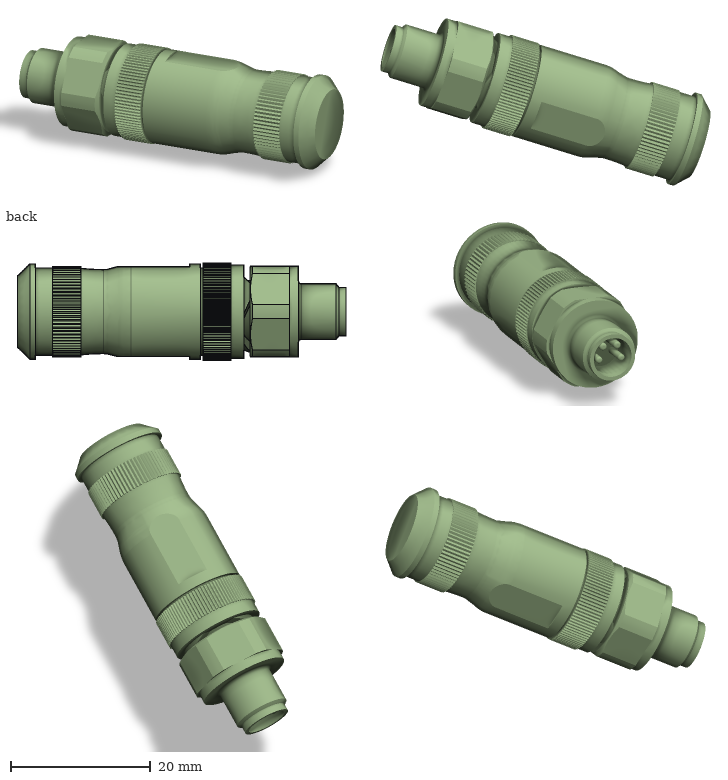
import cadquery as cq
import math

LENGTH = 47.0

TIP_D = 6.9
TIP_END = 1.05
PLUG_D = 8.0
PLUG_START = 1.45
PLUG_ROOT_D = 8.8
SOCKET_MOUTH_D = 5.8
SOCKET_FLOOR_D = 5.35
SOCKET_DEPTH = 4.7
PIN_TIP = 0.7
PIN_TIP_FILLET = 0.35
PINS = [
    (1.1, 1.1, 1.45),
    (1.0, 1.7, -0.45),
]

COLLAR_D = 13.0
COLLAR_START = 6.8
HEX_START = 8.15
HEX_END = 13.75
HEX_SIDES = 6
HEX_FLATS = 12.95
HEX_CORNER_D = 13.95
HEX_BEVEL = 0.38
HEX_BEVEL_DEPTH = 0.65

NECK_CORE_D = 8.95
LUG_COUNT = 3
LUG_TIP_D = 11.65
LUG_BASE_D = 11.0
LUG_TIP_WIDTH = 2.9
LUG_BASE_WIDTH = 6.1

RING_START = 14.6
RING_D = 13.4
FRONT_KNURL_START = 16.45
FRONT_KNURL_END = 20.45
FRONT_KNURL_D = 13.95
FRONT_KNURL_TEETH = 90
GROOVE_D = 12.5

BODY_START = 20.8
BODY_D = 13.7
BODY_END = 30.75
FLAT_START = 22.35
FLAT_SPACING = 12.9
WAIST_X = 34.7
WAIST_D = 12.05

REAR_KNURL_START = 37.95
REAR_KNURL_END = 41.95
REAR_KNURL_D = 12.92
REAR_KNURL_TEETH = 72
REAR_ROOT_D = 12.4
SLEEVE_D = 12.5
FLANGE_START = 44.4
FLANGE_END = 45.2
FLANGE_D = 13.7
REAR_FACE_D = 10.15

KNURL_DEPTH = 0.25


def along_x(start):
    """Workplane across the axis at X = start, local x = +Y and local y = +Z."""
    return cq.Workplane("YZ", origin=(start, 0, 0))


def cylinder(start, end, diameter):
    return along_x(start).circle(diameter / 2).extrude(end - start)


def cone(start, end, start_d, end_d):
    """Truncated cone on the X axis."""
    profile = (
        cq.Workplane("XY")
        .moveTo(start, 0)
        .lineTo(start, start_d / 2)
        .lineTo(end, end_d / 2)
        .lineTo(end, 0)
        .close()
    )
    return profile.revolve(360, (0, 0, 0), (1, 0, 0))


def knurl(start, end, diameter, teeth, flat_topped):
    """Straight knurl: flat-topped teeth have flat crests and roots, others are V-shaped."""
    crest = diameter / 2
    root = crest - KNURL_DEPTH
    tooth_radii = (crest, crest, root, root) if flat_topped else (crest, root)
    corners = len(tooth_radii) * teeth
    points = []
    for i in range(corners):
        radius = tooth_radii[i % len(tooth_radii)]
        angle = 2 * math.pi * i / corners
        points.append((radius * math.cos(angle), radius * math.sin(angle)))
    return along_x(start).polyline(points).close().extrude(end - start)


def plug():
    """Stepped barrel with a slightly tapered socket and four round-tipped pins."""
    root_fillet = (PLUG_ROOT_D - PLUG_D) / 2
    fillet_mid = root_fillet * math.sqrt(0.5)
    fillet_start = COLLAR_START - root_fillet
    outer = (
        cq.Workplane("XY")
        .moveTo(0, 0)
        .lineTo(0, TIP_D / 2)
        .lineTo(TIP_END, TIP_D / 2)
        .lineTo(PLUG_START, PLUG_D / 2)
        .lineTo(fillet_start, PLUG_D / 2)
        .threePointArc(
            (fillet_start + fillet_mid, PLUG_ROOT_D / 2 - fillet_mid),
            (COLLAR_START, PLUG_ROOT_D / 2),
        )
        .lineTo(COLLAR_START, 0)
        .close()
        .revolve(360, (0, 0, 0), (1, 0, 0))
    )
    body = outer.cut(cone(0, SOCKET_DEPTH, SOCKET_MOUTH_D, SOCKET_FLOOR_D))
    for diameter, y, z in PINS:
        pin = cylinder(PIN_TIP, COLLAR_START, diameter).faces("<X").edges().fillet(PIN_TIP_FILLET)
        for side in (-1, 1):
            body = body.union(pin.translate((0, side * y, z)))
    return body


def coupling_nut():
    """Collar and hexagon with two flats facing +Z and -Z, corners turned round."""
    hex_length = HEX_END - HEX_START
    hexagon = (
        along_x(HEX_START)
        .polygon(HEX_SIDES, HEX_FLATS, circumscribed=True)
        .extrude(hex_length)
        .rotate((0, 0, 0), (1, 0, 0), 180 / HEX_SIDES)
    )
    bevel_start = HEX_END - HEX_BEVEL
    envelope = cylinder(HEX_START, bevel_start, HEX_CORNER_D).union(
        cone(bevel_start, HEX_END, HEX_CORNER_D, HEX_CORNER_D - 2 * HEX_BEVEL_DEPTH)
    )
    return hexagon.intersect(envelope).union(cylinder(COLLAR_START, HEX_START, COLLAR_D))


def neck():
    """Slim core with tapered lugs, narrow at the nut and wide at the ring; one lug points to -Z."""
    core = cylinder(HEX_END, RING_START, NECK_CORE_D)
    envelope = cone(HEX_END, RING_START, LUG_TIP_D, LUG_BASE_D)
    wedge = (
        cq.Workplane("XY")
        .moveTo(HEX_END, -LUG_TIP_WIDTH / 2)
        .lineTo(HEX_END, LUG_TIP_WIDTH / 2)
        .lineTo(RING_START, LUG_BASE_WIDTH / 2)
        .lineTo(RING_START, -LUG_BASE_WIDTH / 2)
        .close()
        .extrude(-LUG_TIP_D)
    )
    lug = wedge.intersect(envelope)
    for i in range(LUG_COUNT):
        core = core.union(lug.rotate((0, 0, 0), (1, 0, 0), i * 360 / LUG_COUNT))
    return core


def front_ring():
    ring = cylinder(RING_START, FRONT_KNURL_START, RING_D)
    teeth = knurl(FRONT_KNURL_START, FRONT_KNURL_END, FRONT_KNURL_D, FRONT_KNURL_TEETH, True)
    groove_floor = cylinder(FRONT_KNURL_END, BODY_START, GROOVE_D)
    return ring.union(teeth).union(groove_floor)


def grip_body():
    """Cylinder easing through an S-curve into a waist, with flats on +Z and -Z."""
    body_r = BODY_D / 2
    waist_r = WAIST_D / 2
    shape = (
        cq.Workplane("XY")
        .moveTo(BODY_START, 0)
        .lineTo(BODY_START, body_r)
        .lineTo(BODY_END, body_r)
        .spline([(WAIST_X, waist_r)], tangents=[(1, 0), (1, 0)], includeCurrent=True)
        .tangentArcPoint((REAR_KNURL_START, REAR_ROOT_D / 2), relative=False)
        .lineTo(REAR_KNURL_START, 0)
        .close()
        .revolve(360, (0, 0, 0), (1, 0, 0))
    )
    flat_length = WAIST_X - FLAT_START
    for side in (-1, 1):
        cutter = cq.Workplane("XY").box(flat_length, BODY_D, BODY_D).translate(
            (FLAT_START + flat_length / 2, 0, side * (FLAT_SPACING + BODY_D) / 2)
        )
        shape = shape.cut(cutter)
    return shape


def rear_nut():
    teeth = knurl(REAR_KNURL_START, REAR_KNURL_END, REAR_KNURL_D, REAR_KNURL_TEETH, False)
    sleeve = cylinder(REAR_KNURL_END, FLANGE_START, SLEEVE_D)
    flange = cylinder(FLANGE_START, FLANGE_END, FLANGE_D)
    end_cone = cone(FLANGE_END, LENGTH, FLANGE_D, REAR_FACE_D)
    return teeth.union(sleeve).union(flange).union(end_cone)


result = plug()
for section in (coupling_nut(), neck(), front_ring(), grip_body(), rear_nut()):
    result = result.union(section)